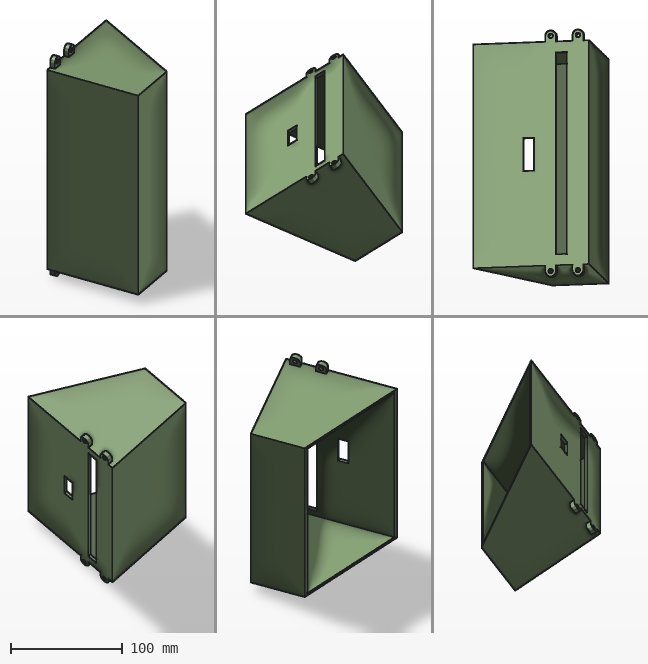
import cadquery as cq
import math

depth = 94.0
width = 105.5
overall_height = 224.0
slant_angle = 30.0
wall = 3.0

lug_width = 9.9
lug_radius = lug_width / 2
lug_reach = 10.0
lug_thickness = 5.0
lug_hole_diameter = 4.0
lug_positions_y = (10.0, 35.0)

slot_width = 10.0
slot_height = 183.8
slot_center_y = 25.0
window_width = 9.9
window_height = 30.0
window_center_y = 55.0

box_height = overall_height - 2 * lug_reach
slant_slope = math.tan(math.radians(slant_angle))


def slant_y(x):
    """Y of the slanted open side at a given X."""
    return width - x * slant_slope


def prism(x_min, x_max, y_min, height):
    """Upright prism centred on Z = 0, bounded on +Y by the slanted side."""
    outline = [
        (x_min, y_min),
        (x_max, y_min),
        (x_max, slant_y(x_max)),
        (x_min, slant_y(x_min)),
    ]
    return cq.Workplane("XY").polyline(outline).close().extrude(height / 2, both=True)


def make_shell():
    """Thin-walled box, fully open on the slanted side."""
    outer = prism(0, depth, 0, box_height)
    cavity = prism(wall, depth - wall, wall, box_height - 2 * wall)
    return outer.cut(cavity)


def back_wall_opening(opening_width, opening_height, center_y):
    """Rectangular cutter that passes through the back wall only."""
    return (
        cq.Workplane("YZ")
        .center(center_y, 0)
        .rect(opening_width, opening_height)
        .extrude(wall)
    )


def make_lug(center_y, end):
    """Round-ended lug rooted in the end wall; end is +1 for the top and -1 for the bottom."""
    root_z = end * (box_height / 2 - wall)
    center_z = end * (overall_height / 2 - lug_radius)
    return (
        cq.Workplane("YZ")
        .moveTo(center_y - lug_radius, root_z)
        .lineTo(center_y - lug_radius, center_z)
        .threePointArc((center_y, end * overall_height / 2), (center_y + lug_radius, center_z))
        .lineTo(center_y + lug_radius, root_z)
        .close()
        .moveTo(center_y, center_z)
        .circle(lug_hole_diameter / 2)
        .extrude(lug_thickness)
    )


result = make_shell()
result = result.cut(back_wall_opening(slot_width, slot_height, slot_center_y))
result = result.cut(back_wall_opening(window_width, window_height, window_center_y))
for lug_y in lug_positions_y:
    for box_end in (1, -1):
        result = result.union(make_lug(lug_y, box_end))